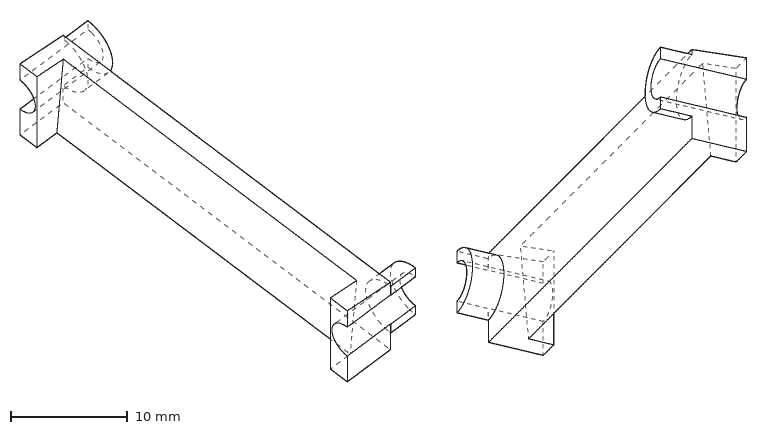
import cadquery as cq
import math

overall_length = 39.8
overall_depth = 8.2
front_height = 9.2
body_length = 39.75
arm_width = 2.05
boss_length = 3.0
boss_radius = 3.02
groove_radius = 1.87
axis_height = 5.2
plate_top_thickness = 2.03
tilt_angle = 5.0

body_depth = overall_depth - boss_length
tilt = math.tan(math.radians(tilt_angle))
back_height = front_height - body_depth * tilt

plate_top_y = body_depth - plate_top_thickness
plate_top_z = front_height - plate_top_y * tilt
plate_bottom_y = plate_top_y - plate_top_z * tilt


def side_profile(points, start_x, length):
    """Extrude a Y-Z outline along +X."""
    return cq.Workplane("YZ", origin=(start_x, 0, 0)).polyline(points).close().extrude(length)


def cylinder_along_y(x, radius, start_y, length):
    """Cylinder running along +Y at the common axis height."""
    base = cq.Workplane("XZ", origin=(x, start_y, axis_height))
    return base.circle(radius).extrude(-length)


def make_arm(start_x):
    """End arm of full depth with a sloping top."""
    outline = [(0, 0), (body_depth, 0), (body_depth, back_height), (0, front_height)]
    return side_profile(outline, start_x, arm_width)


def make_plate():
    """Long plate joining the arms, with a leaning front face."""
    outline = [
        (plate_bottom_y, 0),
        (body_depth, 0),
        (body_depth, back_height),
        (plate_top_y, plate_top_z),
    ]
    return side_profile(outline, 0, body_length)


def make_bosses():
    """Round bosses behind both ends, cut off flat at the part's outer sides."""
    envelope = cq.Workplane("XY").box(
        overall_length, overall_depth, front_height, centered=False
    )
    left = cylinder_along_y(0, boss_radius, body_depth, boss_length)
    right = cylinder_along_y(body_length, boss_radius, body_depth, boss_length)
    return left.union(right).intersect(envelope)


result = make_plate()
for arm_x in (0, body_length - arm_width):
    result = result.union(make_arm(arm_x))
result = result.union(make_bosses())

for end_x in (0, body_length):
    result = result.cut(cylinder_along_y(end_x, groove_radius, 0, overall_depth))